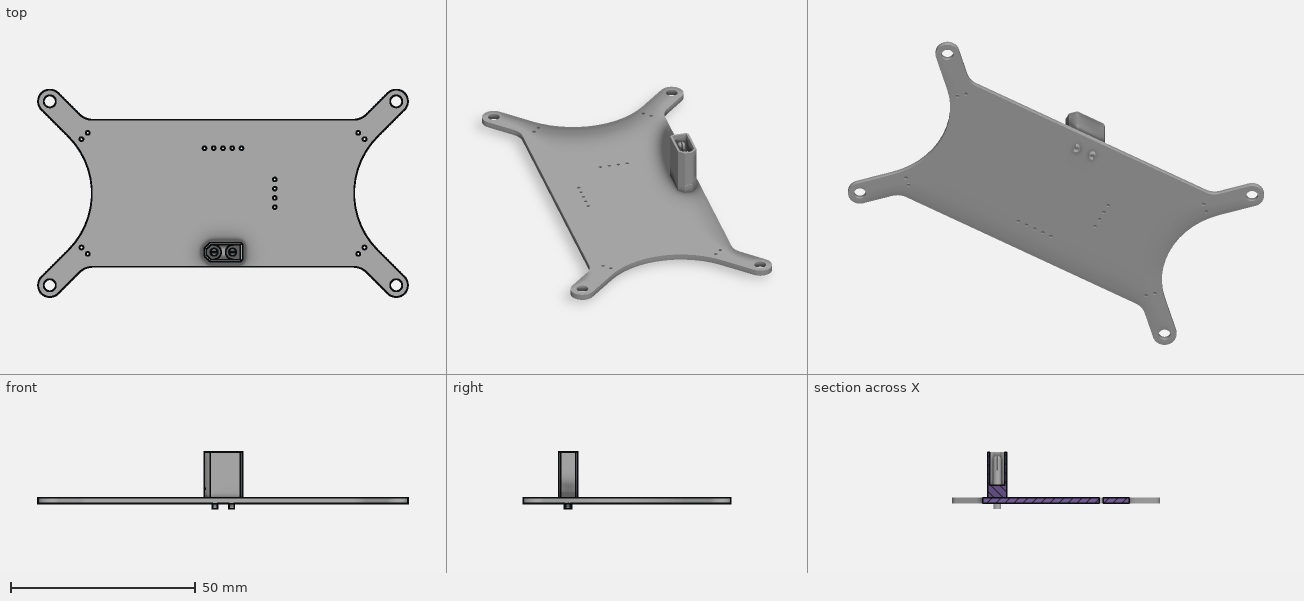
import cadquery as cq
import math

board_length = 100.5
board_width = 56.4
board_thickness = 1.6
arm_radius = 3.2
body_half_width = 20.0
side_arc_radius = 21.8
corner_fillet = 5.0
mount_hole_diameter = 3.2

corner_hole_diameter = 1.0
header_hole_diameter = 0.95
header_pitch = 2.5
row_count = 5
row_y = 12.3
column_count = 4
column_x = 14.1
corner_hole_x = 37.6
corner_hole_y = 15.6
corner_hole_offset = 0.85

connector_x = 0.1
connector_y = -16.0
housing_length = 10.5
housing_width = 5.2
housing_height = 12.5
key_chamfer = 1.6
plain_chamfer = 0.6
wall = 0.6
cavity_depth = 9.0
pocket_depth = 1.0
pocket_radius = 1.9
notch_bottom = 2.3
notch_height = 0.3
notch_depth = 0.3

pin_spacing = 5.0
pin_diameter = 2.0
pin_tip_depth = 1.0
pin_slot_width = 0.4
pin_slot_depth = 4.0
cup_length = 1.4
cup_bore = 1.6
cup_opening = 0.5

mount_x = board_length / 2 - arm_radius
mount_y = board_width / 2 - arm_radius
diagonal = math.sqrt(0.5)
half_sweep = math.pi / 8
pin_radius = pin_diameter / 2
rim_z = board_thickness + housing_height
cavity_z = rim_z - cavity_depth
pocket_z = cavity_z - pocket_depth
pin_sides = (-1, 1)
pin_centers = [(connector_x + side * pin_spacing / 2, connector_y) for side in pin_sides]


def make_board_blank():
    """Plate with 45 degree arms that run tangent into the concave ends and the long sides."""
    flank = arm_radius * diagonal
    arc_end_y = side_arc_radius * diagonal
    arc_end_x = mount_x + flank - (mount_y - flank - arc_end_y)
    waist_x = arc_end_x - side_arc_radius * (1 - diagonal)
    arc_middle_x = waist_x + side_arc_radius * (1 - math.cos(half_sweep))
    arc_middle_y = side_arc_radius * math.sin(half_sweep)
    fillet_end_y = body_half_width + corner_fillet * (1 - diagonal)
    fillet_end_x = mount_x - flank - (mount_y + flank - fillet_end_y)
    fillet_start_x = fillet_end_x - corner_fillet * diagonal
    fillet_middle_x = fillet_start_x + corner_fillet * math.sin(half_sweep)
    fillet_middle_y = body_half_width + corner_fillet * (1 - math.cos(half_sweep))

    quarter = (
        cq.Workplane("XY")
        .lineTo(0, body_half_width)
        .lineTo(fillet_start_x, body_half_width)
        .threePointArc((fillet_middle_x, fillet_middle_y), (fillet_end_x, fillet_end_y))
        .lineTo(mount_x - flank, mount_y + flank)
        .threePointArc((mount_x + flank, mount_y + flank), (mount_x + flank, mount_y - flank))
        .lineTo(arc_end_x, arc_end_y)
        .threePointArc((arc_middle_x, arc_middle_y), (waist_x, 0))
        .close()
        .extrude(board_thickness)
    )
    half = quarter.union(quarter.mirror("YZ"))
    return half.union(half.mirror("XZ")).clean()


def drill(body, points, diameter):
    """Through holes in the board."""
    drills = cq.Workplane("XY").pushPoints(points).circle(diameter / 2).extrude(board_thickness)
    return body.cut(drills)


def make_board():
    """Board with mounting, corner and header holes, and a hole for each connector pin."""
    quadrants = [(sx, sy) for sx in (-1, 1) for sy in (-1, 1)]
    mounts = [(sx * mount_x, sy * mount_y) for sx, sy in quadrants]
    corner_holes = [
        (sx * (corner_hole_x + step), sy * (corner_hole_y - step))
        for sx, sy in quadrants
        for step in (-corner_hole_offset, corner_hole_offset)
    ]
    row = [((i - (row_count - 1) / 2) * header_pitch, row_y) for i in range(row_count)]
    column = [(column_x, (i - (column_count - 1) / 2) * header_pitch) for i in range(column_count)]

    board = make_board_blank()
    board = drill(board, mounts, mount_hole_diameter)
    board = drill(board, corner_holes, corner_hole_diameter)
    board = drill(board, row + column, header_hole_diameter)
    return drill(board, pin_centers, pin_diameter)


def keyed_block(inset, bottom, top):
    """Housing outline, moved inwards by an inset, as a block between two heights."""
    length = housing_length - 2 * inset
    width = housing_width - 2 * inset
    block = cq.Workplane("XY", origin=(connector_x, connector_y, bottom)).rect(length, width)
    block = block.extrude(top - bottom)
    shortening = (2 - math.sqrt(2)) * inset
    return block.edges("|Z and <X").chamfer(key_chamfer - shortening)


def make_pocket(side):
    """Recess around one pin: round towards the other pin, following the cavity wall elsewhere."""
    center = connector_x + side * pin_spacing / 2
    base = cq.Workplane("XY", origin=(center, connector_y, pocket_z))
    round_part = base.circle(pocket_radius).extrude(pocket_depth)
    outer_part = (
        base.center(side * housing_length / 2, 0)
        .rect(housing_length, housing_width)
        .extrude(pocket_depth)
    )
    return round_part.union(outer_part).intersect(keyed_block(wall, pocket_z, cavity_z))


def make_pin(side):
    """Round pin with a domed, slotted tip above and an outward-open solder cup below the board."""
    center = connector_x + side * pin_spacing / 2
    tip_z = rim_z - pin_tip_depth
    base = cq.Workplane("XY", origin=(center, connector_y, -cup_length))
    pin = base.circle(pin_radius).extrude(tip_z + cup_length - pin_radius)
    dome = cq.Workplane("XY", origin=(center, connector_y, tip_z - pin_radius)).sphere(pin_radius)
    pin = pin.union(dome)
    slot = (
        cq.Workplane("XY", origin=(center, connector_y, tip_z))
        .rect(pin_diameter, pin_slot_width)
        .extrude(-pin_slot_depth)
    )
    bore = base.circle(cup_bore / 2).extrude(cup_length)
    opening = (
        base.center(side * (cup_opening + pin_radius / 2), 0)
        .rect(pin_radius, pin_diameter)
        .extrude(cup_length)
    )
    return pin.cut(slot).cut(bore).cut(opening)


def make_connector():
    """Open-topped housing with its two pins, as one body standing on the board."""
    connector = keyed_block(0, board_thickness, rim_z).edges("|Z and >X").chamfer(plain_chamfer)
    connector = connector.cut(keyed_block(wall, cavity_z, rim_z))
    end_face_x = connector_x - housing_length / 2
    notch = (
        cq.Workplane("XY", origin=(end_face_x, connector_y, board_thickness + notch_bottom))
        .rect(2 * notch_depth, housing_width - 2 * key_chamfer)
        .extrude(notch_height)
    )
    connector = connector.cut(notch)
    for side in pin_sides:
        connector = connector.cut(make_pocket(side)).union(make_pin(side))
    return connector


board = make_board()
connector = make_connector()

result = cq.Compound.makeCompound([board.val(), connector.val()])